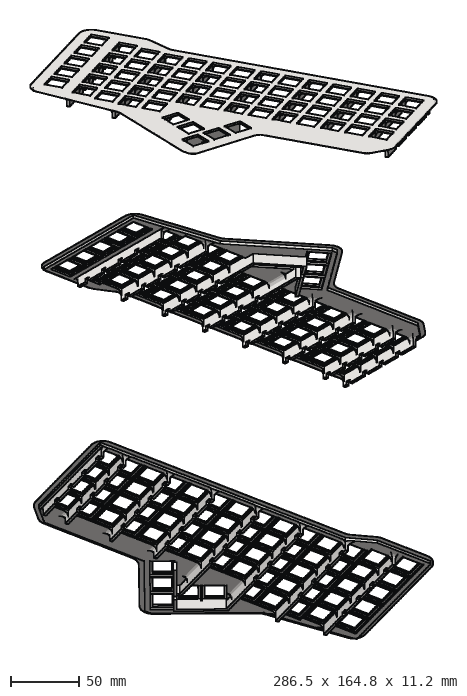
import cadquery as cq
import math

TOTAL_HEIGHT = 11.2
LIP_HEIGHT = 1.0
BODY_HEIGHT = 3.5
WEB_HEIGHT = 1.7

CORNER_RADIUS = 10.0
RIM_WIDTH = 3.2
BODY_INSET = 4.0
WIDTH = 286.5
DEPTH = 164.7
LEFT = -WIDTH / 2
RIGHT = WIDTH / 2
TOP_LEFT_EDGE = DEPTH / 2
TOP_EDGE = 72.7
BOTTOM_EDGE = -33.5
CORNER_CUT = 15.0
THUMB_FLAT = -78.5
OUTLINE = [
    (LEFT, TOP_LEFT_EDGE),
    (-92.2, TOP_LEFT_EDGE),
    (-70.7, TOP_EDGE),
    (RIGHT, TOP_EDGE),
    (RIGHT, BOTTOM_EDGE + CORNER_CUT),
    (RIGHT - CORNER_CUT, BOTTOM_EDGE),
    (43.0, BOTTOM_EDGE),
    (9.7, -86.2),
    (-66.5, -38.5),
    (LEFT, -28.4),
]

KEY_SIZE = 14.0
KEY_MARGIN = 2.0
GRID_X = -64.2
GRID_Y = 55.8
GRID_COLUMNS = 11
GRID_SPAN = 190.5
PITCH = GRID_SPAN / (GRID_COLUMNS - 1)
LONG_COLUMNS = 2
SHORT_ROWS = 4
LONG_ROWS = 5
STAGGERED_COLUMNS = [
    (-126.3, 65.3),
    (GRID_X - 2 * PITCH, 60.7),
    (GRID_X - PITCH, 57.5),
]
CLUSTER_X = 14.5
CLUSTER_Y = -46.5
CLUSTER_ANGLE = -32.0
CLUSTER_COS = math.cos(math.radians(CLUSTER_ANGLE))
CLUSTER_SIN = math.sin(math.radians(CLUSTER_ANGLE))
CLUSTER_KEYS = [(0, 1), (0, 0), (0, -1), (-1, -0.5), (-2, -0.5)]

RIB_WIDTH = 2.3
RIB_FILLET = 4.0
SELECT_MARGIN = 0.3
RIB_TOP = 66.2
RIB_BOTTOM = -14.3
NOTCH_WIDTH = 4.0
NOTCH_HEIGHT = 2.5
NOTCH_SHIFT = 5.0
LEFT_RIB = (-3, 71.0, -24.5)
RIGHT_RIB = (GRID_COLUMNS - 1, RIB_TOP, RIB_BOTTOM)
FREE_RIBS = [
    (-1, 67.3, -29.8),
    (5, RIB_TOP, RIB_BOTTOM),
    (7, RIB_TOP, RIB_BOTTOM),
    (9, RIB_TOP, RIB_BOTTOM),
]

WALL_CORNER = (-3.2, -59.3)
WALL_RIGHT_LENGTH = 47.3
WALL_NOTCH_POSITION = 15.5
WALL_BRANCHES = [(1, 0), (3, 18.0)]


def box(x_min, x_max, y_min, y_max, z_min, z_max):
    """Block between the given limits."""
    size = (x_max - x_min, y_max - y_min, z_max - z_min)
    return cq.Workplane("XY").box(*size, centered=False).translate((x_min, y_min, z_min))


def body_prism(bottom):
    """Sharp-cornered outline of the body, reaching from the rim's underside down to bottom."""
    outline = cq.Workplane("XY", origin=(0, 0, -LIP_HEIGHT)).polyline(OUTLINE).close()
    prism = outline.offset2D(-BODY_INSET, "intersection").extrude(bottom + LIP_HEIGHT)
    return prism.intersect(box(LEFT, RIGHT, THUMB_FLAT, TOP_LEFT_EDGE, bottom, 0))


def make_plate():
    """Plate body under a rim whose upper edge is rounded by a shallow arc."""
    lip = cq.Workplane("XY").polyline(OUTLINE).close().extrude(-LIP_HEIGHT)
    lip = lip.edges("|Z").fillet(CORNER_RADIUS)
    arc_radius = (RIM_WIDTH ** 2 + LIP_HEIGHT ** 2) / (2 * LIP_HEIGHT)
    half_angle = math.asin(RIM_WIDTH / arc_radius) / 2
    middle = (
        -RIM_WIDTH + arc_radius * math.sin(half_angle),
        -arc_radius * (1 - math.cos(half_angle)),
    )
    path = lip.faces(">Z").wires().val()
    cutter = (
        cq.Workplane("YZ", origin=(LEFT + CORNER_RADIUS, TOP_LEFT_EDGE, 0))
        .moveTo(-RIM_WIDTH, 0)
        .threePointArc(middle, (0, -LIP_HEIGHT))
        .lineTo(LIP_HEIGHT, -LIP_HEIGHT)
        .lineTo(LIP_HEIGHT, LIP_HEIGHT)
        .lineTo(-RIM_WIDTH, LIP_HEIGHT)
        .close()
        .sweep(cq.Workplane(path))
    )
    body = body_prism(-BODY_HEIGHT)
    return lip.cut(cutter).union(body)


def key_places():
    """Centre and rotation of every key."""
    places = []
    for x, top in STAGGERED_COLUMNS:
        places += [(x, top - row * PITCH, 0) for row in range(LONG_ROWS)]
    for column in range(GRID_COLUMNS):
        rows = LONG_ROWS if column < LONG_COLUMNS else SHORT_ROWS
        x = GRID_X + column * PITCH
        places += [(x, GRID_Y - row * PITCH, 0) for row in range(rows)]
    for across, up in CLUSTER_KEYS:
        x = CLUSTER_X + PITCH * (across * CLUSTER_COS - up * CLUSTER_SIN)
        y = CLUSTER_Y + PITCH * (across * CLUSTER_SIN + up * CLUSTER_COS)
        places.append((x, y, CLUSTER_ANGLE))
    return places


def key_cutters(size, top, bottom):
    """Square prisms at all keys, between two heights."""
    cutters = cq.Workplane("XY")
    for x, y, angle in key_places():
        prism = box(-size / 2, size / 2, -size / 2, size / 2, bottom, top)
        cutters.add(prism.rotate((0, 0, 0), (0, 0, 1), angle).translate((x, y, 0)))
    return cutters.combine()


def rib_centre(column):
    """X of the gap to the right of a key column."""
    return GRID_X + (column + 0.5) * PITCH


def branch_length(column, position):
    """Length of a wall branch from the right arm to the left face of its rib."""
    face = rib_centre(column) - RIB_WIDTH / 2
    return (WALL_CORNER[0] - face - position * CLUSTER_SIN) / CLUSTER_COS


def branch_rib(column, position):
    """Column and end points of the rib that ends where a wall branch meets it."""
    length = branch_length(column, position)
    return (column, RIB_TOP, WALL_CORNER[1] - length * CLUSTER_SIN + position * CLUSTER_COS)


def make_rib(column, top, bottom):
    """Plain rib in the gap to the right of a key column."""
    x = rib_centre(column)
    return box(x - RIB_WIDTH / 2, x + RIB_WIDTH / 2, bottom, top, -TOTAL_HEIGHT, -WEB_HEIGHT)


def make_flare(rib_size, reach_left=RIB_FILLET, reach_right=RIB_FILLET, lowest_y=THUMB_FLAT):
    """Rib with a concave fillet around its root, trimmed on each side to the given reach."""
    rib = make_rib(*rib_size)
    bounds = rib.val().BoundingBox()
    margin = 2 * RIB_FILLET
    foot = box(bounds.xmin - margin, bounds.xmax + margin, bounds.ymin - margin, bounds.ymax + margin,
               -BODY_HEIGHT, -WEB_HEIGHT)
    root = cq.selectors.BoxSelector(
        (bounds.xmin - RIB_FILLET, bounds.ymin - RIB_FILLET, -BODY_HEIGHT - SELECT_MARGIN),
        (bounds.xmax + RIB_FILLET, bounds.ymax + RIB_FILLET, -BODY_HEIGHT + SELECT_MARGIN),
    )
    kept = box(bounds.xmin - reach_left, bounds.xmax + reach_right, lowest_y, TOP_LEFT_EDGE,
               -TOTAL_HEIGHT, -WEB_HEIGHT)
    return foot.union(rib).edges(root).fillet(RIB_FILLET).intersect(kept)


def make_flares():
    """Root fillets of all ribs; the two outermost ribs have theirs on the inner side only."""
    flares = make_flare(LEFT_RIB, reach_left=0).union(make_flare(RIGHT_RIB, reach_right=0))
    for rib_size in FREE_RIBS:
        flares = flares.union(make_flare(rib_size))
    last_row_end = GRID_Y - (LONG_ROWS - 1) * PITCH - KEY_SIZE / 2 - KEY_MARGIN
    for branch in WALL_BRANCHES:
        flares = flares.union(make_flare(branch_rib(*branch), lowest_y=last_row_end))
    return flares.intersect(body_prism(-TOTAL_HEIGHT))


def make_ribs():
    """All ribs, without their root fillets."""
    ribs = make_rib(*LEFT_RIB)
    branch_ribs = [branch_rib(*branch) for branch in WALL_BRANCHES]
    for rib_size in [RIGHT_RIB] + FREE_RIBS + branch_ribs:
        ribs = ribs.union(make_rib(*rib_size))
    return ribs


def make_notches():
    """Slots across the lower edges of all ribs, one per short key row."""
    notches = cq.Workplane("XY")
    for row in range(SHORT_ROWS):
        y = GRID_Y + NOTCH_SHIFT - row * PITCH
        notches.add(box(LEFT, RIGHT, y - NOTCH_WIDTH / 2, y + NOTCH_WIDTH / 2,
                        -TOTAL_HEIGHT, -TOTAL_HEIGHT + NOTCH_HEIGHT))
    return notches.combine()


def make_cluster_wall():
    """Wall beside the two inner thumb keys: a notched right arm and branches square to it."""
    wall = box(-RIB_WIDTH, 0, 0, WALL_RIGHT_LENGTH, -TOTAL_HEIGHT, -WEB_HEIGHT)
    notch_start = WALL_NOTCH_POSITION - NOTCH_WIDTH / 2
    notch = box(-RIB_WIDTH, 0, notch_start, notch_start + NOTCH_WIDTH,
                -TOTAL_HEIGHT, -TOTAL_HEIGHT + NOTCH_HEIGHT)
    wall = wall.cut(notch)
    for column, position in WALL_BRANCHES:
        length = branch_length(column, position)
        wall = wall.union(box(-length, 0, position, position + RIB_WIDTH, -TOTAL_HEIGHT, -WEB_HEIGHT))
    return wall.rotate((0, 0, 0), (0, 0, 1), CLUSTER_ANGLE).translate((*WALL_CORNER, 0))


result = make_plate().union(make_flares())
result = result.cut(key_cutters(KEY_SIZE + 2 * KEY_MARGIN, -WEB_HEIGHT, -TOTAL_HEIGHT))
result = result.union(make_ribs()).cut(make_notches()).union(make_cluster_wall())
result = result.cut(key_cutters(KEY_SIZE, 0, -WEB_HEIGHT))